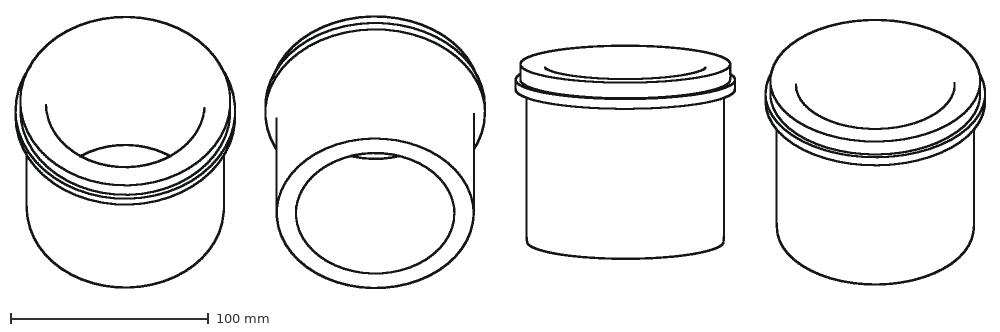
import cadquery as cq

flange_diameter = 111.0
total_height = 91.0
flange_radius = flange_diameter / 2

collar_radius = 106.1 / 2
collar_height = 8.0
flange_thickness = 5.0

sleeve_radius = 100.0 / 2
root_fillet = 1.0
lead_in_height = 3.0
lead_in_depth = 0.27

bore_radius = 80.0 / 2
mouth_round = 3.0

flange_top = total_height - collar_height
flange_bottom = flange_top - flange_thickness
fillet_bottom = flange_bottom - root_fillet


def make_outer_body():
    """Revolve the stepped outer profile about Z."""
    profile = (
        cq.Workplane("XZ")
        .moveTo(0, 0)
        .lineTo(sleeve_radius - lead_in_depth, 0)
        .lineTo(sleeve_radius, lead_in_height)
        .lineTo(sleeve_radius, fillet_bottom)
        .radiusArc((sleeve_radius + root_fillet, flange_bottom), root_fillet)
        .lineTo(flange_radius, flange_bottom)
        .lineTo(flange_radius, flange_top)
        .lineTo(collar_radius, flange_top)
        .lineTo(collar_radius, total_height)
        .lineTo(0, total_height)
        .close()
    )
    return profile.revolve(360, (0, 0, 0), (0, 1, 0))


def cut_bore(body):
    """Cut the through bore and round its upper mouth."""
    bored = body.cut(cq.Workplane("XY").circle(bore_radius).extrude(total_height))
    mouth_edge = cq.selectors.RadiusNthSelector(0)
    return bored.faces(">Z").edges(mouth_edge).fillet(mouth_round)


result = cut_bore(make_outer_body())